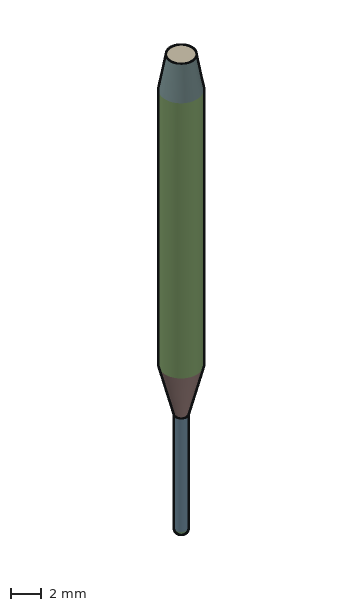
import cadquery as cq

total_length = 40.0
top_z = total_length / 2
bottom_z = -top_z
head_taper_length = 2.9
nose_taper_length = 4.1
plunger_length = 10.0
shank_top_z = top_z - head_taper_length
nose_end_z = bottom_z + plunger_length
shank_bottom_z = nose_end_z + nose_taper_length

shank_diameter = 3.0
head_diameter = 2.0
plunger_diameter = 1.0
shank_radius = shank_diameter / 2
head_radius = head_diameter / 2
plunger_radius = plunger_diameter / 2

full_turn = 360


def revolve_about_z(profile):
    """Turn a closed XZ profile into a solid of revolution about the Z axis."""
    return profile.revolve(full_turn, (0, 0), (0, 1))


def make_barrel():
    """Round shank with a tapered head above and a tapered nose below."""
    profile = (
        cq.Workplane("XZ")
        .moveTo(0, top_z)
        .lineTo(head_radius, top_z)
        .lineTo(shank_radius, shank_top_z)
        .lineTo(shank_radius, shank_bottom_z)
        .lineTo(plunger_radius, nose_end_z)
        .lineTo(0, nose_end_z)
        .close()
    )
    return revolve_about_z(profile)


def make_plunger():
    """Thin rod with a hemispherical tip, seated against the end of the nose."""
    profile = (
        cq.Workplane("XZ")
        .moveTo(0, nose_end_z)
        .lineTo(plunger_radius, nose_end_z)
        .lineTo(plunger_radius, bottom_z + plunger_radius)
        .radiusArc((0, bottom_z), plunger_radius)
        .close()
    )
    return revolve_about_z(profile)


barrel = make_barrel()
plunger = make_plunger()

result = cq.Compound.makeCompound([barrel.val(), plunger.val()])